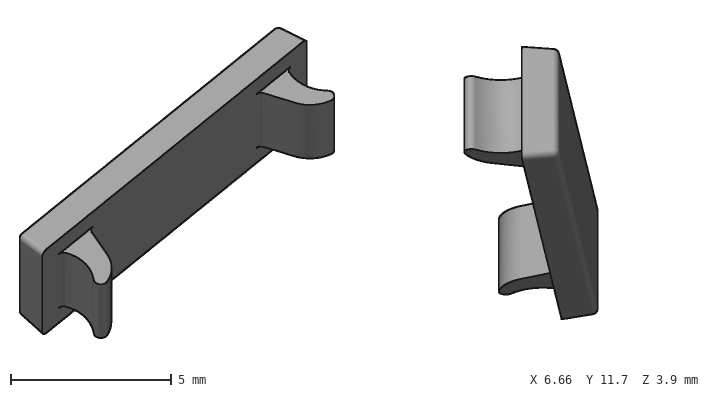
import cadquery as cq

bar_length = 12.2
bar_height = 3.9
bar_thickness = 1.15
draft_angle = 5
edge_radius = 0.2
tilt_angle = 20
back_center = (-0.25, -0.13, 0)

hook_width = 2.51
root_radius = 0.2
root_inner = 3.91
root_outer = 5.2
root_embed = 0.12


def make_bar():
    """Block with drafted sides, rounded everywhere except around the back face."""
    block = (
        cq.Workplane("YZ")
        .workplane(invert=True)
        .rect(bar_length, bar_height)
        .extrude(bar_thickness, taper=draft_angle)
    )
    return block.edges("not >X").fillet(edge_radius)


def make_hook():
    """Claw at the +Y end, pointing away from the back face and curling outward."""
    return (
        cq.Workplane("XY", origin=(0, 0, -hook_width / 2))
        .moveTo(-root_embed, root_inner)
        .lineTo(0, root_inner)
        .lineTo(1.13, 4.32)
        .threePointArc((1.59, 4.64), (1.88, 5.12))
        .threePointArc((1.79, 5.4), (1.51, 5.38))
        .threePointArc((0.95, 5.09), (0, root_outer))
        .lineTo(-root_embed, root_outer)
        .close()
        .extrude(hook_width)
    )


def root_edges(body, side):
    """Edges where both flanks of one hook meet the back face."""
    edges = body.edges(cq.NearestToPointSelector((0, side * root_inner, 0)))
    return edges.add(body.edges(cq.NearestToPointSelector((0, side * root_outer, 0))))


hook = make_hook()
body = make_bar().union(hook).union(hook.mirror("XZ"))
for end in (1, -1):
    body = root_edges(body, end).fillet(root_radius)

result = body.rotate((0, 0, 0), (0, 0, 1), -tilt_angle).translate(back_center)